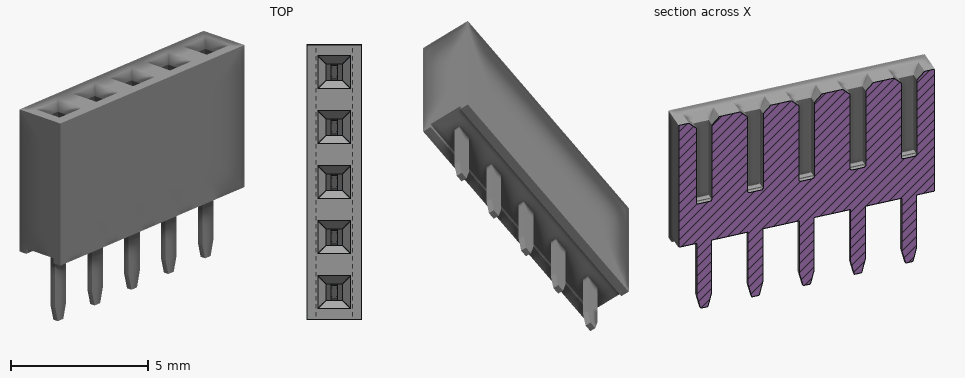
import cadquery as cq

contact_count = 5
pitch = 2.0

body_width = 2.0
body_length = contact_count * pitch
body_height = 5.6
foot_width = 1 / 3
foot_height = 0.2

funnel_mouth = 1.2
socket_size = 0.6
funnel_depth = (funnel_mouth - socket_size) / 2
socket_floor_z = 2.0

blade_thickness = 0.22
blade_width = 0.6
tail_length = 2.7
tail_taper_length = 0.6
tail_tip_width = 0.3

slot_bottom_length = 0.5
slot_depth = (socket_size - slot_bottom_length) / 2
slot_bottom_z = socket_floor_z - slot_depth

contact_positions = [(i - (contact_count - 1) / 2) * pitch for i in range(contact_count)]


def make_housing():
    """Rectangular block with a channel along its underside, leaving two feet."""
    block = cq.Workplane("XY").box(body_width, body_length, body_height, centered=(True, True, False))
    channel_width = body_width - 2 * foot_width
    channel = cq.Workplane("XY").box(channel_width, body_length, foot_height, centered=(True, True, False))
    return block.cut(channel)


def make_socket(y):
    """Square blind hole with a 45 degree lead-in funnel at the top face."""
    funnel_bottom_z = body_height - funnel_depth
    funnel = (
        cq.Workplane("XY", origin=(0, y, funnel_bottom_z))
        .rect(socket_size, socket_size)
        .workplane(offset=funnel_depth)
        .rect(funnel_mouth, funnel_mouth)
        .loft(ruled=True)
    )
    hole = (
        cq.Workplane("XY", origin=(0, y, socket_floor_z))
        .rect(socket_size, socket_size)
        .extrude(funnel_bottom_z - socket_floor_z)
    )
    return funnel.union(hole)


def extrude_symmetric_profile(y, right_side):
    """Mirror half a YZ outline about the contact axis and give it the blade thickness."""
    left_side = [(-across, z) for across, z in reversed(right_side)]
    return (
        cq.Workplane("YZ", origin=(0, y, 0))
        .polyline(right_side + left_side)
        .close()
        .extrude(blade_thickness / 2, both=True)
    )


def make_floor_slot(y):
    """Slot as thick as the blade whose ends slope inward to its flat bottom."""
    right_side = [
        (slot_bottom_length / 2, slot_bottom_z),
        (socket_size / 2, socket_floor_z),
    ]
    return extrude_symmetric_profile(y, right_side)


def make_contact(y):
    """Straight blade with a tapered tail tip, embedded in the housing up to the slot bottom."""
    tip_z = -tail_length
    right_side = [
        (tail_tip_width / 2, tip_z),
        (blade_width / 2, tip_z + tail_taper_length),
        (blade_width / 2, slot_bottom_z),
    ]
    return extrude_symmetric_profile(y, right_side)


result = make_housing()
for contact_y in contact_positions:
    result = result.cut(make_socket(contact_y)).cut(make_floor_slot(contact_y))
    result = result.union(make_contact(contact_y))